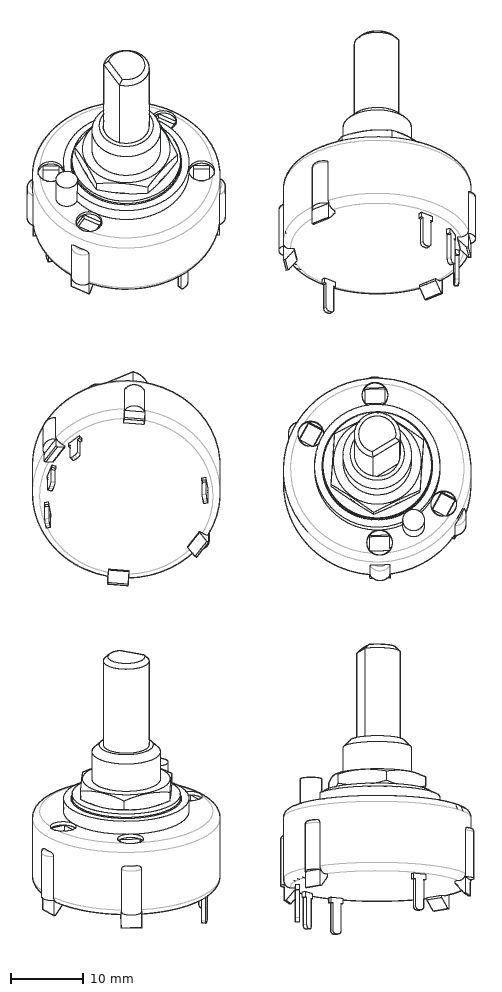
import cadquery as cq
import math


body_dia = 26.0
body_height = 10.58
body_round = 1.0

collar_dia = 17.37
collar_top = 12.5
seat_dia = 15.3
seat_depth = 0.5

washer_dia = 15.0
washer_thickness = 0.5
washer_gap = 0.1
washer_bottom = collar_top + washer_gap
washer_top = washer_bottom + washer_thickness
nut_top = 15.4
nut_across_flats = 12.35
nut_face_dia = 12.12
nut_turn = -5.7
nut_chamfer_angle = 25

bushing_dia = 9.5
bushing_top = 20.45
bushing_chamfer = 1.0
bore_depth = 2.0
shaft_dia = 6.37
shaft_top = 33.55
shaft_chamfer = 0.6
shaft_flat_offset = 2.35

peg_dia = 3.0
peg_radius = 9.55
peg_top = 14.55

clip_angles = [60, 120, 240, 300]
rib_dia = 3.2
rib_radius = 12.12
rib_bottom = 0.55
rib_top = 7.55
rib_round = 0.5
hook_face_radius = 12.9
hook_width = 2.85
hook_length = 1.5
hook_tip_length = 0.27
hook_lip = 0.3
hook_drop = 1.7
window_radius = 10.42
window_dia = 3.55
window_depth = 0.5
pocket_length = 2.2
pocket_width = 2.78
pocket_depth = 0.8

terminal_angles = [15, 195, 225, 255]
terminal_radius = 11.05
terminal_width = 1.35
terminal_thickness = 0.58
terminal_round = 0.5
terminal_bottom = shaft_top - 38.6
shoulder_width = 1.95
shoulder_drop = 0.75


def cylinder(dia, bottom, top):
    return cq.Workplane("XY").workplane(offset=bottom).circle(dia / 2).extrude(top - bottom)


def turned(shape, angle):
    """Turn a shape built on the +X side to its place around the axis."""
    return shape.rotate((0, 0, 0), (0, 0, 1), angle)


def make_housing():
    body = cylinder(body_dia, 0, body_height).faces("<Z or >Z").edges().fillet(body_round)
    collar = cylinder(collar_dia, body_height, collar_top)
    seat = cylinder(seat_dia, collar_top - seat_depth, collar_top)
    return body.union(collar).cut(seat)


def make_nut():
    """Hexagon trimmed at both ends by a cone around its axis."""
    across_corners = nut_across_flats / math.cos(math.radians(30))
    height = nut_top - washer_top
    hexagon = cq.Workplane("XY").polygon(6, across_corners).extrude(height)

    face_radius = nut_face_dia / 2
    outer_radius = across_corners / 2 + 0.4
    rise = (outer_radius - face_radius) * math.tan(math.radians(nut_chamfer_angle))
    envelope = (
        cq.Workplane("XZ")
        .polyline([
            (0, 0),
            (face_radius, 0),
            (outer_radius, rise),
            (outer_radius, height - rise),
            (face_radius, height),
            (0, height),
        ])
        .close()
        .revolve(360, (0, 0), (0, 1))
    )
    return turned(hexagon.intersect(envelope), nut_turn).translate((0, 0, washer_top))


def make_bushing():
    """Bushing with a blind bore that the shaft fills except beside its flat."""
    bushing = cylinder(bushing_dia, collar_top - seat_depth, bushing_top)
    bore = cylinder(shaft_dia, bushing_top - bore_depth, bushing_top)
    return bushing.faces(">Z").chamfer(bushing_chamfer).cut(bore)


def make_shaft():
    """Round shaft with one flat facing -Y, chamfered around the whole end."""
    shaft_bottom = bushing_top - bore_depth
    shaft = cylinder(shaft_dia, shaft_bottom, shaft_top)
    kept = (
        cq.Workplane("XY")
        .workplane(offset=shaft_bottom)
        .center(0, shaft_dia / 2 - shaft_flat_offset)
        .rect(shaft_dia, shaft_dia)
        .extrude(shaft_top - shaft_bottom)
    )
    return shaft.intersect(kept).faces(">Z").chamfer(shaft_chamfer)


def make_clip():
    """Round rib on the housing wall with a hook below it that points inward."""
    rib = cylinder(rib_dia, rib_bottom, rib_top).faces(">Z").edges().fillet(rib_round)
    rib = rib.translate((rib_radius, 0, 0))
    inner_radius = hook_face_radius - hook_length
    hook = (
        cq.Workplane("XZ")
        .polyline([
            (hook_face_radius, rib_bottom),
            (hook_face_radius, -hook_drop),
            (hook_face_radius - hook_tip_length, -hook_drop),
            (inner_radius, -hook_lip),
            (inner_radius, rib_bottom),
        ])
        .close()
        .extrude(hook_width / 2, both=True)
    )
    return rib.union(hook)


def make_window():
    """Shallow round recess with a deeper rectangular pocket in its floor."""
    floor = body_height - window_depth
    recess = cylinder(window_dia, floor, body_height)
    pocket = (
        cq.Workplane("XY")
        .workplane(offset=floor)
        .rect(pocket_length, pocket_width)
        .extrude(-pocket_depth)
    )
    return recess.union(pocket).translate((window_radius, 0, 0))


def make_terminal():
    """Flat blade with a wider shoulder, its broad faces square to the radius."""
    blade = (
        cq.Workplane("XY")
        .rect(terminal_thickness, terminal_width)
        .extrude(terminal_bottom)
        .faces("<Z")
        .edges("|X")
        .fillet(terminal_round)
    )
    shoulder = cq.Workplane("XY").rect(terminal_thickness, shoulder_width).extrude(-shoulder_drop)
    return blade.union(shoulder).translate((terminal_radius, 0, 0))


result = make_housing()
for angle in clip_angles:
    result = result.union(turned(make_clip(), angle)).cut(turned(make_window(), angle))
for angle in terminal_angles:
    result = result.union(turned(make_terminal(), angle))

peg = cylinder(peg_dia, body_height, peg_top).translate((0, -peg_radius, 0))
washer = cylinder(washer_dia, washer_bottom, washer_top)
for piece in [peg, washer, make_nut(), make_bushing(), make_shaft()]:
    result = result.union(piece)